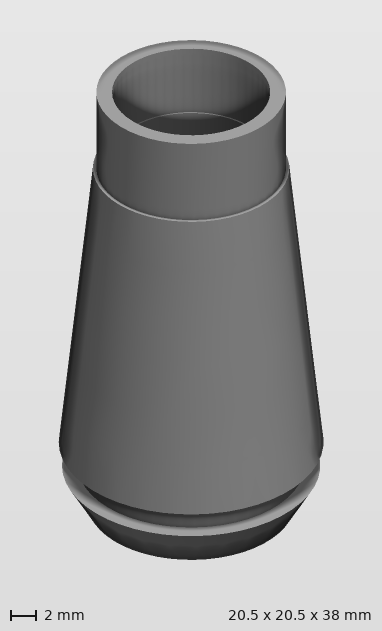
import cadquery as cq

total_height = 38.0
lip_height = 3.5
groove_width = 2.15
neck_height = 7.03
neck_bore_depth = 5.85

lip_bottom_diameter = 16.0
lip_top_diameter = 20.0
groove_diameter = 17.5
taper_bottom_diameter = 20.5
taper_top_diameter = 15.2
neck_diameter = 14.65

bore_diameter = 11.97
neck_bore_diameter = 12.25

taper_bottom = lip_height + groove_width
taper_top = total_height - neck_height
bore_step = total_height - neck_bore_depth

half_section = [
    (bore_diameter / 2, 0),
    (lip_bottom_diameter / 2, 0),
    (lip_top_diameter / 2, lip_height),
    (groove_diameter / 2, lip_height),
    (groove_diameter / 2, taper_bottom),
    (taper_bottom_diameter / 2, taper_bottom),
    (taper_top_diameter / 2, taper_top),
    (neck_diameter / 2, taper_top),
    (neck_diameter / 2, total_height),
    (neck_bore_diameter / 2, total_height),
    (neck_bore_diameter / 2, bore_step),
    (bore_diameter / 2, bore_step),
]

result = (
    cq.Workplane("YZ")
    .polyline(half_section)
    .close()
    .revolve(360, (0, 0), (0, 1))
)